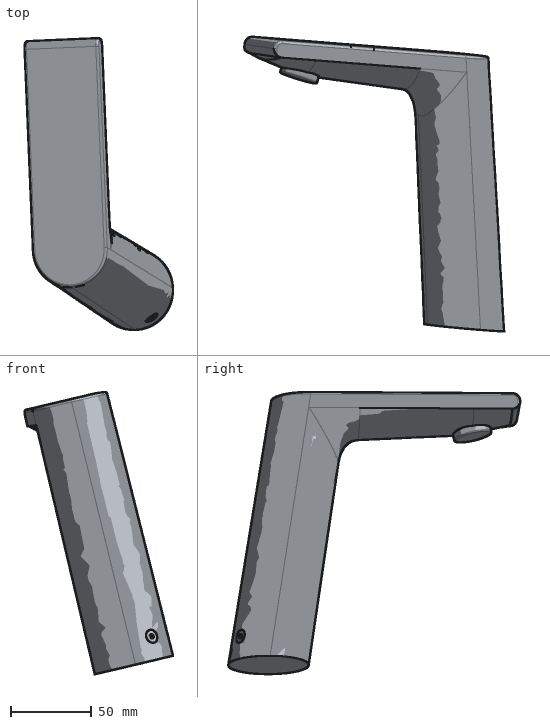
import cadquery as cq
import math


YAW = 2.4
PITCH = 0.2
TILT = 13.3

HEIGHT = 170.0
BASE_RADIUS = 25.2
HEEL_RADIUS = 23.9
HEEL_Y = 26.2

SPOUT_LENGTH = 130.7
BAND_HEIGHT = 10.4
TIP_RADIUS = BAND_HEIGHT / 2
TOP_FILLET = 1.6

BELLY_TIP = (125.8, 2.7)
BELLY_BEND = (101.5, 10.5)
BELLY_ROOT = (30.5, 14.4)

BLEND_MIDDLE_CHORD = 14.5
BLEND_MIDDLE_LOW = (22.2, 18.6)
COLUMN_CUT_ANGLE = 58.0

AERATOR_RADIUS = 12.0
AERATOR_DISTANCE = 102.0
AERATOR_DEPTH = 12.5
AERATOR_LENGTH = 7.3
AERATOR_TILT = 13.0
AERATOR_FILLET = 1.0

SCREW_RADIUS = 4.2
SCREW_HEIGHT = 15.0
SCREW_ANGLE = 35.0
SCREW_LENGTH = 7.3
SOCKET_WIDTH = 2.7
SOCKET_DEPTH = 1.8

LEAN = HEEL_Y / HEIGHT
TAPER = (BASE_RADIUS - HEEL_RADIUS) / HEIGHT
BAND_Z = HEIGHT - BAND_HEIGHT
BAND_HEEL_Y = LEAN * BAND_Z
BAND_HALF_WIDTH = BASE_RADIUS - TAPER * BAND_Z
TIP_Y = HEEL_Y + SPOUT_LENGTH


def quartered_circle(center, radius):
    """Circle of four quarter arcs that meet on the X and Y directions."""
    points = [
        center + cq.Vector(radius * math.cos(angle), radius * math.sin(angle), 0)
        for angle in (math.pi / 4 * step for step in range(9))
    ]
    arcs = [cq.Edge.makeThreePointArc(*points[start : start + 3]) for start in range(0, 8, 2)]
    return cq.Wire.assembleEdges(arcs)


def make_column():
    base = quartered_circle(cq.Vector(0, 0, 0), BASE_RADIUS)
    top = quartered_circle(cq.Vector(0, HEEL_Y, HEIGHT), HEEL_RADIUS)
    return cq.Workplane(cq.Solid.makeLoft([base, top], True))


def spout_rectangle(z, rear_y, half_width):
    return cq.Wire.makePolygon(
        [
            cq.Vector(-half_width, rear_y, z),
            cq.Vector(half_width, rear_y, z),
            cq.Vector(half_width, TIP_Y, z),
            cq.Vector(-half_width, TIP_Y, z),
        ],
        close=True,
    )


def make_slab():
    """Flat spout bar, rounded at the tip, whose side walls run on from the column."""
    bar = cq.Solid.makeLoft(
        [
            spout_rectangle(BAND_Z, BAND_HEEL_Y, BAND_HALF_WIDTH),
            spout_rectangle(HEIGHT, HEEL_Y, HEEL_RADIUS),
        ],
        True,
    )
    return cq.Workplane(bar).edges(">Y and >Z").fillet(TIP_RADIUS)


def arc_section(chord_distance, low_distance, depth):
    """Closed section with a straight top and a circular arc through its low point."""
    chord_y = HEEL_Y + chord_distance
    left = cq.Vector(-BAND_HALF_WIDTH, chord_y, BAND_Z)
    right = cq.Vector(BAND_HALF_WIDTH, chord_y, BAND_Z)
    low = cq.Vector(0, HEEL_Y + low_distance, BAND_Z - depth)
    return cq.Wire.assembleEdges(
        [cq.Edge.makeThreePointArc(left, low, right), cq.Edge.makeLine(right, left)]
    )


def belly_section(distance, depth):
    return arc_section(distance, distance, depth)


def column_section():
    """Half ellipse that the sloping blend plane cuts from the front of the column."""
    slope = math.tan(math.radians(COLUMN_CUT_ANGLE))
    reach = BAND_HALF_WIDTH / (1 + (LEAN - TAPER) * slope)
    drop = reach * slope
    center = cq.Vector(0, BAND_HEEL_Y, BAND_Z)
    low = center + cq.Vector(0, reach, -drop)
    semi_major = math.hypot(reach, drop)
    normal = (low - center).cross(cq.Vector(1, 0, 0))
    arc = cq.Edge.makeEllipse(semi_major, BAND_HALF_WIDTH, center, normal, low - center, 270, 90)
    return cq.Wire.assembleEdges([arc, cq.Edge.makeLine(arc.endPoint(), arc.startPoint())])


def make_belly_nose():
    return cq.Solid.makeLoft([belly_section(*BELLY_TIP), belly_section(*BELLY_BEND)], True)


def make_belly_body():
    return cq.Solid.makeLoft([belly_section(*BELLY_BEND), belly_section(*BELLY_ROOT)], True)


def make_blend():
    return cq.Solid.makeLoft(
        [
            belly_section(*BELLY_ROOT),
            arc_section(BLEND_MIDDLE_CHORD, *BLEND_MIDDLE_LOW),
            column_section(),
        ]
    )


def make_lower_tip_waste():
    """Corner bar outside the lower quarter round of the spout tip."""
    center_y = TIP_Y - TIP_RADIUS
    center_z = BAND_Z + TIP_RADIUS
    diagonal = TIP_RADIUS * math.sqrt(0.5)
    return (
        cq.Workplane("YZ").moveTo(center_y, BAND_Z)
        .threePointArc((center_y + diagonal, center_z - diagonal), (TIP_Y, center_z))
        .lineTo(TIP_Y, BAND_Z)
        .close()
        .extrude(BASE_RADIUS, both=True)
    )


def make_housing_blank():
    housing = make_column().union(make_slab())
    housing = housing.faces(">Z").edges("not >Y").fillet(TOP_FILLET).cut(make_lower_tip_waste())
    for belly_part in (make_belly_nose(), make_belly_body(), make_blend()):
        housing = housing.union(cq.Workplane(belly_part))
    return housing


def make_aerator():
    """Disc under the spout tip, tipped so that it points slightly outwards."""
    return (
        cq.Workplane("XY")
        .circle(AERATOR_RADIUS).extrude(AERATOR_LENGTH)
        .faces("<Z").edges().fillet(AERATOR_FILLET)
        .rotate((0, 0, 0), (1, 0, 0), AERATOR_TILT)
        .translate((0, HEEL_Y + AERATOR_DISTANCE, BAND_Z - AERATOR_DEPTH))
    )


def screw_plane():
    angle = math.radians(SCREW_ANGLE)
    outward = cq.Vector(math.sin(angle), -math.cos(angle), 0)
    axis_point = cq.Vector(0, LEAN * SCREW_HEIGHT, SCREW_HEIGHT)
    origin = axis_point + outward * (BASE_RADIUS - SCREW_LENGTH)
    return cq.Plane(origin, xDir=(0, 0, 1), normal=outward)


def make_screw_blank():
    """Screw whose outer end follows the column surface."""
    rod = cq.Workplane(screw_plane()).circle(SCREW_RADIUS).extrude(2 * SCREW_LENGTH)
    return rod.intersect(make_column())


def make_screw():
    socket = (
        cq.Workplane(screw_plane()).workplane(offset=SCREW_LENGTH - SOCKET_DEPTH)
        .polygon(6, SOCKET_WIDTH).extrude(SCREW_LENGTH)
    )
    return make_screw_blank().cut(socket)


def pose(upright_body):
    turned = upright_body.rotate((0, 0, 0), (0, 0, 1), YAW)
    pitched = turned.rotate((0, 0, 0), (1, 0, 0), PITCH)
    return pitched.rotate((0, 0, 0), (0, 1, 0), -TILT)


aerator = make_aerator()
screw = make_screw()
housing = make_housing_blank().cut(aerator).cut(make_screw_blank())

result = cq.Compound.makeCompound([pose(part).val() for part in (housing, aerator, screw)])